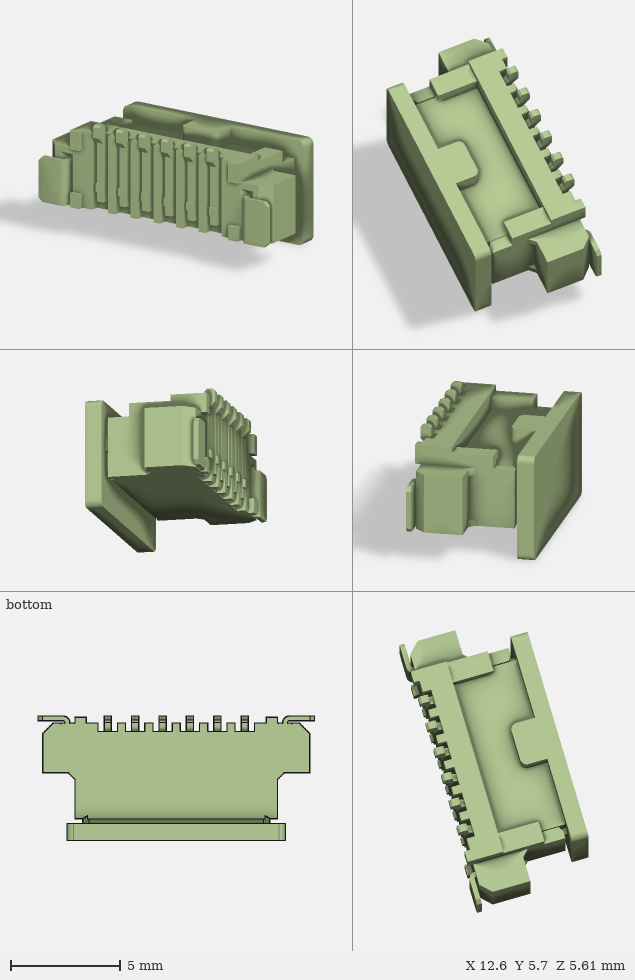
import cadquery as cq


TOTAL_DEPTH = 5.7
CONTACT_TOP = 4.19

BODY_HALF_WIDTH = 4.63
BODY_FRONT = 0.32
BODY_BACK = 4.7
BODY_TOP = 2.78
BAR_BACK = 1.76
BAR_TOP = 3.7
HOOK_INNER_X = 3.67
HOOK_BACK = 3.71
HOOK_TOP = 3.4
LEAD_IN = 0.28
WALL_CHAMFER_X = 0.25
WALL_CHAMFER_Y = 0.15
STOP_WIDTH = 0.52
STOP_FRONT = 0.05
LOWER_STOP_TOP = 0.68

WING_HALF_WIDTH = 6.11
WING_BACK = 2.6
WING_CHAMFER = 0.49
GUSSET = 0.3

PLATE_HALF_WIDTH = 5.0
PLATE_THICKNESS = 0.8
PLATE_BOTTOM = -1.42
PLATE_TOP = 3.58
CORNER_RADIUS = 0.3
PLATE_FRONT = TOTAL_DEPTH - PLATE_THICKNESS
TAB_HALF_WIDTH = 1.0
SLIDER_HALF_WIDTH = 4.0
SLIDER_BOTTOM = 0.45
SLIDER_TOP = 2.75
SLIDER_GAP = 0.05
RIB_HALF_WIDTH = 4.28
RIB_BOTTOM = 1.3
RIB_TOP = 1.9

TAB_THICKNESS = 0.23
TAB_LEG_X = 4.86
TAB_OUTER_X = 6.32
TAB_TOP = 2.18
TAB_CHAMFER = 0.2
TAB_BEND_RADIUS = 0.32
POCKET_OUTER_X = 5.33
POCKET_TOP = 2.48
POCKET_DEPTH = 0.19
LEG_SLOT_DEPTH = 0.63

CONTACT_COUNT = 6
CONTACT_PITCH = 1.25
CONTACT_WIDTH = 0.34
CONTACT_BACK = 0.48
CONTACT_CHAMFER = 0.1
CONTACT_HEAD_BOTTOM = 3.58
CONTACT_STEM_FRONT = 0.3
CONTACT_BOTTOM = 0.45
NUB_BOTTOM = 0.95
NUB_TOP = 1.33
NUB_FRONT = 0.19
GROOVE_WIDTH = 0.87
GROOVE_FLOOR = 0.71


def box(x0, x1, y0, y1, z0, z1):
    """Box between two opposite corners."""
    return cq.Workplane("XY").box(x1 - x0, y1 - y0, z1 - z0, centered=False).translate((x0, y0, z0))


def centred_box(half_width, y0, y1, z0, z1):
    """Box that straddles X = 0."""
    return box(-half_width, half_width, y0, y1, z0, z1)


def prism_z(points, z0, z1):
    """Outline in X and Y raised from z0 to z1."""
    return cq.Workplane("XY").workplane(offset=z0).polyline(points).close().extrude(z1 - z0)


def prism_x(points, x0, x1):
    """Outline in Y and Z extended from x0 to x1."""
    return cq.Workplane("YZ").workplane(offset=x0).polyline(points).close().extrude(x1 - x0)


def both_sides(solid):
    """The solid together with its mirror image across X = 0."""
    return solid.union(solid.mirror("YZ"))


def make_housing():
    body = centred_box(BODY_HALF_WIDTH, BODY_FRONT, BODY_BACK, 0, BODY_TOP)
    bed_half_width = SLIDER_HALF_WIDTH + SLIDER_GAP
    body = body.cut(centred_box(bed_half_width, BAR_BACK, BODY_BACK, SLIDER_TOP, BODY_TOP))
    gap = box(SLIDER_HALF_WIDTH, bed_half_width, HOOK_BACK, BODY_BACK, RIB_TOP, BODY_TOP)
    wall_chamfer = prism_z(
        [
            (bed_half_width, BODY_BACK),
            (bed_half_width + WALL_CHAMFER_X, BODY_BACK),
            (bed_half_width, BODY_BACK - WALL_CHAMFER_Y),
        ],
        0,
        BODY_TOP,
    )
    body = body.cut(both_sides(gap)).cut(both_sides(wall_chamfer))

    body = body.union(centred_box(BODY_HALF_WIDTH, BODY_FRONT, BAR_BACK, SLIDER_TOP, BAR_TOP))
    hook = box(HOOK_INNER_X, BODY_HALF_WIDTH, BAR_BACK, HOOK_BACK, SLIDER_TOP, HOOK_TOP)
    lead_in = prism_x(
        [
            (HOOK_BACK, SLIDER_TOP),
            (HOOK_BACK, SLIDER_TOP + LEAD_IN),
            (HOOK_BACK - LEAD_IN, SLIDER_TOP),
        ],
        HOOK_INNER_X,
        bed_half_width,
    )
    body = body.union(both_sides(hook.cut(lead_in)))

    for z0, z1 in ((BODY_TOP, BAR_TOP), (0, LOWER_STOP_TOP)):
        stop = box(BODY_HALF_WIDTH - STOP_WIDTH, BODY_HALF_WIDTH, STOP_FRONT, BODY_FRONT, z0, z1)
        body = body.union(both_sides(stop))
    return body


def make_wing():
    wing = prism_z(
        [
            (BODY_HALF_WIDTH, BODY_FRONT),
            (WING_HALF_WIDTH - WING_CHAMFER, BODY_FRONT),
            (WING_HALF_WIDTH, BODY_FRONT + WING_CHAMFER),
            (WING_HALF_WIDTH, WING_BACK),
            (BODY_HALF_WIDTH, WING_BACK),
        ],
        0,
        BODY_TOP,
    )
    gusset_outline = [
        (BODY_HALF_WIDTH, WING_BACK),
        (BODY_HALF_WIDTH + GUSSET, WING_BACK),
        (BODY_HALF_WIDTH, WING_BACK + GUSSET),
    ]
    for z0 in (0, BODY_TOP - GUSSET):
        wing = wing.union(prism_z(gusset_outline, z0, z0 + GUSSET))

    slot_x = TAB_LEG_X + TAB_THICKNESS
    slot_bottom = POCKET_DEPTH
    slot_top = POCKET_TOP - POCKET_DEPTH
    mouth_centre = (BODY_HALF_WIDTH + POCKET_OUTER_X) / 2
    throat_centre = (TAB_LEG_X + slot_x) / 2
    pocket = (
        cq.Workplane("XZ", origin=(0, BODY_FRONT, POCKET_TOP / 2))
        .center(mouth_centre, 0)
        .rect(POCKET_OUTER_X - BODY_HALF_WIDTH, POCKET_TOP)
        .workplane(offset=-POCKET_DEPTH)
        .center(throat_centre - mouth_centre, 0)
        .rect(TAB_THICKNESS, slot_top - slot_bottom)
        .loft(ruled=True)
    )
    slot = box(TAB_LEG_X, slot_x, BODY_FRONT, BODY_FRONT + LEG_SLOT_DEPTH, slot_bottom, slot_top)
    return wing.cut(pocket).cut(slot)


def make_solder_tab():
    leg_back = BODY_FRONT + LEG_SLOT_DEPTH
    foot = box(TAB_LEG_X, TAB_OUTER_X, 0, TAB_THICKNESS, 0, TAB_TOP)
    foot = foot.edges("|Y and >X").chamfer(TAB_CHAMFER)
    leg = box(TAB_LEG_X, TAB_LEG_X + TAB_THICKNESS, 0, leg_back, 0, TAB_TOP)
    tab = foot.union(leg)
    tab = tab.edges("|Z and <X and <Y").fillet(TAB_BEND_RADIUS)
    inner_corner = cq.selectors.NearestToPointSelector(
        (TAB_LEG_X + TAB_THICKNESS, TAB_THICKNESS, TAB_TOP / 2)
    )
    return tab.edges(inner_corner).fillet(TAB_BEND_RADIUS - TAB_THICKNESS)


def make_slider():
    plate = centred_box(PLATE_HALF_WIDTH, PLATE_FRONT, TOTAL_DEPTH, PLATE_BOTTOM, PLATE_TOP)
    plate = plate.edges("|Y").fillet(CORNER_RADIUS)
    thumb_tab = centred_box(TAB_HALF_WIDTH, HOOK_BACK, PLATE_FRONT, SLIDER_TOP, PLATE_TOP)
    thumb_tab = thumb_tab.edges("|Z and <Y").fillet(CORNER_RADIUS)
    tongue = centred_box(SLIDER_HALF_WIDTH, HOOK_BACK, PLATE_FRONT, SLIDER_BOTTOM, SLIDER_TOP)
    ribs = centred_box(RIB_HALF_WIDTH, HOOK_BACK, PLATE_FRONT, RIB_BOTTOM, RIB_TOP)
    return plate.union(thumb_tab).union(tongue).union(ribs)


def make_groove(x):
    half = GROOVE_WIDTH / 2
    return box(x - half, x + half, BODY_FRONT, GROOVE_FLOOR, 0, BAR_TOP)


def make_contact(x):
    """One contact: head above the bar, stem in the groove and a small nub low on the stem."""
    stem_top = CONTACT_HEAD_BOTTOM - CONTACT_STEM_FRONT
    floor_top = CONTACT_HEAD_BOTTOM - (GROOVE_FLOOR - CONTACT_BACK)
    profile = [
        (GROOVE_FLOOR, CONTACT_BOTTOM),
        (CONTACT_STEM_FRONT, CONTACT_BOTTOM),
        (CONTACT_STEM_FRONT, NUB_BOTTOM),
        (NUB_FRONT, NUB_BOTTOM),
        (NUB_FRONT, NUB_TOP),
        (CONTACT_STEM_FRONT, NUB_TOP),
        (CONTACT_STEM_FRONT, stem_top),
        (0, CONTACT_HEAD_BOTTOM),
        (0, CONTACT_TOP - CONTACT_CHAMFER),
        (CONTACT_CHAMFER, CONTACT_TOP),
        (CONTACT_BACK - CONTACT_CHAMFER, CONTACT_TOP),
        (CONTACT_BACK, CONTACT_TOP - CONTACT_CHAMFER),
        (CONTACT_BACK, CONTACT_HEAD_BOTTOM),
        (GROOVE_FLOOR, floor_top),
    ]
    return prism_x(profile, x - CONTACT_WIDTH / 2, x + CONTACT_WIDTH / 2)


result = make_housing().union(both_sides(make_wing())).union(both_sides(make_solder_tab()))
result = result.union(make_slider())
for index in range(CONTACT_COUNT):
    contact_x = (index - (CONTACT_COUNT - 1) / 2) * CONTACT_PITCH
    result = result.cut(make_groove(contact_x)).union(make_contact(contact_x))